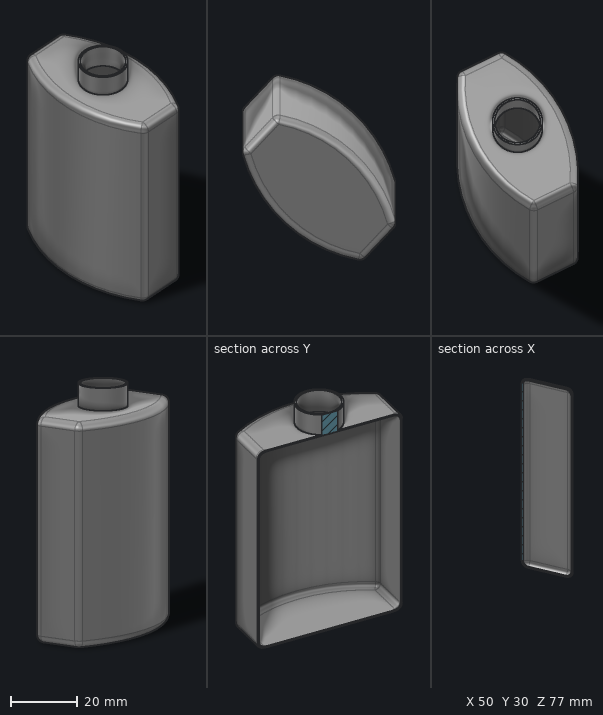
import cadquery as cq

total_height = 77.0
width = 50.0
depth = 30.0
neck_height = 7.0
wall = 0.6
edge_radius = 2.5

body_height = total_height - neck_height
side_depth = depth / 2
neck_diameter = depth / 2


def solid_body():
    """Flask body with flat sides, bowed faces and every edge rounded."""
    half_width = width / 2
    half_side = side_depth / 2
    half_depth = depth / 2
    return (
        cq.Workplane("XY")
        .moveTo(-half_width, half_side)
        .lineTo(-half_width, -half_side)
        .threePointArc((0, -half_depth), (half_width, -half_side))
        .lineTo(half_width, half_side)
        .threePointArc((0, half_depth), (-half_width, half_side))
        .close()
        .extrude(body_height)
        .edges()
        .fillet(edge_radius)
    )


def add_neck(body):
    """Round neck standing on the middle of the flat top."""
    neck = (
        cq.Workplane("XY")
        .workplane(offset=body_height)
        .circle(neck_diameter / 2)
        .extrude(neck_height)
    )
    return body.union(neck)


result = add_neck(solid_body()).faces(">Z").shell(-wall, kind="intersection")